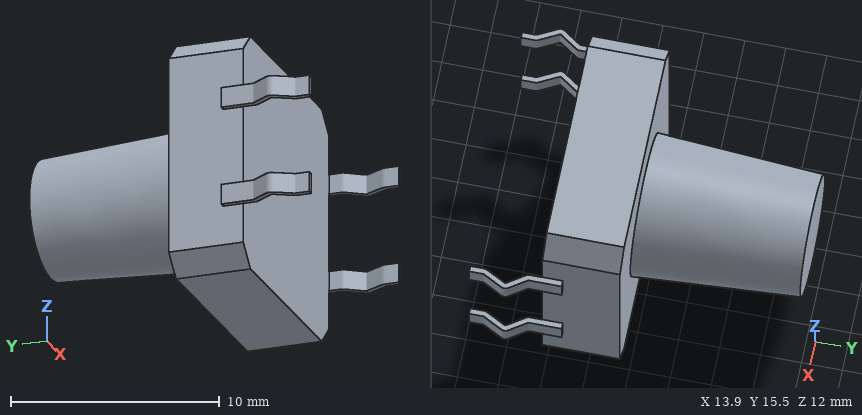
import cadquery as cq
import math


housing_side = 12.0
housing_depth = 3.8
corner_chamfer = 1.0
button_height = 8.2
button_base_diameter = 7.0
button_tip_diameter = 6.0

lead_span = 13.87
lead_pitch = 4.99
lead_width = 1.0
lead_thickness = 0.3
bend_inner_radius = 0.05
lead_overlap = 1.0
lead_reach = 3.5
tip_standoff = 0.1
shoulder_bend_depth = 0.6
elbow_bend_depth = 1.67
tip_bend_depth = 2.8

bend_outer_radius = bend_inner_radius + lead_thickness
bend_mean_radius = (bend_inner_radius + bend_outer_radius) / 2
wall_x = housing_side / 2
tip_x = wall_x + tip_standoff

shoulder_center = (wall_x + bend_outer_radius, -shoulder_bend_depth)
elbow_center = (lead_span / 2 - bend_outer_radius, -elbow_bend_depth)
tip_center = (tip_x + bend_outer_radius, -tip_bend_depth)


def strip_tilt(outside_center, inside_center):
    """Angle from vertical of the straight strip passing between two bend centers."""
    across = inside_center[0] - outside_center[0]
    along = abs(inside_center[1] - outside_center[1])
    center_distance = math.hypot(across, along)
    return math.atan2(across, along) + math.asin(2 * bend_mean_radius / center_distance)


def bend_arc(center, radius, start_tilt, end_tilt):
    """Start, middle and end of an arc; a negative radius puts it on the wall side of its center."""
    tilts = (start_tilt, (start_tilt + end_tilt) / 2, end_tilt)
    return [
        (center[0] + radius * math.cos(tilt), center[1] + radius * math.sin(tilt))
        for tilt in tilts
    ]


def strip_face_arcs(outside_bend_radius, elbow_radius):
    """The three bend arcs of one face of the strip, from the shoulder to the tip."""
    flare_tilt = strip_tilt(shoulder_center, elbow_center)
    return_tilt = -strip_tilt(tip_center, elbow_center)
    return [
        bend_arc(shoulder_center, -outside_bend_radius, 0, flare_tilt),
        bend_arc(elbow_center, elbow_radius, flare_tilt, return_tilt),
        bend_arc(tip_center, -outside_bend_radius, return_tilt, 0),
    ]


def make_housing():
    """Square block with chamfered corners and a tapered round button on its +Y face."""
    block = (
        cq.Workplane("XY")
        .box(housing_side, housing_depth, housing_side)
        .translate((0, housing_depth / 2, 0))
        .edges("|Y")
        .chamfer(corner_chamfer)
    )
    button = cq.Solid.makeCone(
        button_base_diameter / 2,
        button_tip_diameter / 2,
        button_height,
        pnt=cq.Vector(0, housing_depth, 0),
        dir=cq.Vector(0, 1, 0),
    )
    return block.union(cq.Workplane(button))


def make_lead(z_center):
    """One bent lead against the +X wall of the housing."""
    far_face = strip_face_arcs(bend_inner_radius, bend_outer_radius)
    near_face = strip_face_arcs(bend_outer_radius, bend_inner_radius)

    profile = cq.Workplane("XY").workplane(offset=z_center).moveTo(wall_x + lead_thickness, lead_overlap)
    for start, middle, end in far_face:
        profile = profile.lineTo(*start).threePointArc(middle, end)
    profile = profile.lineTo(tip_x + lead_thickness, -lead_reach).lineTo(tip_x, -lead_reach)
    for start, middle, end in reversed(near_face):
        profile = profile.lineTo(*end).threePointArc(middle, start)
    profile = profile.lineTo(wall_x, lead_overlap).close()
    return profile.extrude(lead_width / 2, both=True)


housing = make_housing()

leads = []
for z_center in (-lead_pitch / 2, lead_pitch / 2):
    right_lead = make_lead(z_center)
    leads.append(right_lead.val())
    leads.append(right_lead.mirror("YZ").val())

result = cq.Compound.makeCompound([housing.val(), *leads])